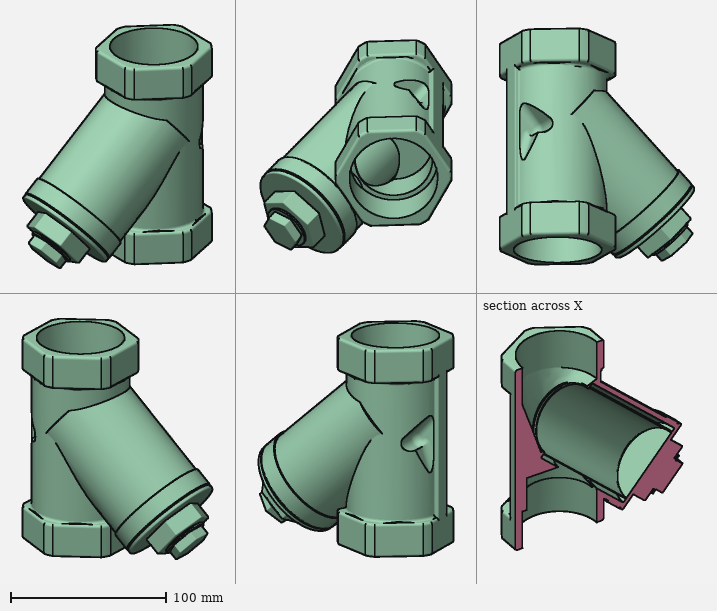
import cadquery as cq
import math

length = 139.0
half_length = length / 2
body_radius = 63.4 / 2
end_flats = 68.0
end_corner_diameter = 74.9
end_height = 22.5
end_rounding = 2.0
neck_fillet = 1.8

port_diameter = 56.7
port_depth = 28.2
port_floor = half_length - port_depth
outlet_diameter = 50.0
outlet_top = -16.7

branch_angle = 42.0
branch_crossing = 21.8
branch_diameter = 66.0
branch_start = 2.0
collar_diameter = 68.0
collar_start = 79.5
collar_end = 91.6
groove_diameter = 66.2
groove_end = 92.3
cap_diameter = 67.5
cap_end = 95.2
cap_rounding = 0.8

seat_diameter = 50.0
seat_rim_diameter = 52.0
seat_start = 4.6
seat_end = 7.4
screen_diameter = 53.0
screen_bore = 51.4
chamber_diameter = 58.4

nut_flats = 37.5
nut_end = 107.3
nut_turn = 30.0
nut_rounding = 0.7
washer_diameter = 30.0
washer_start = 108.1
washer_end = 109.5
shank_diameter = 24.2
plug_flats = 23.4
plug_end = 116.3
plug_turn = 0.0
plug_rounding = 0.5

rib_half_width = 6.3
rib_back = end_flats / 2
rib_rounding = 0.5
rib_fillet = 1.0
relief_floor = 7.0
relief_tip_radius = 5.5
relief_tip_y = 22.7
relief_tip_z = 6.1
relief_slope = 48.0
relief_low_y = 30.5
relief_low_z = -18.3
relief_fillet = 5.0


def hexagon_diameter(flats):
    return flats / math.cos(math.pi / 6)


def branch_plane(station):
    """Plane across the branch axis, with its normal pointing out of the branch."""
    angle = math.radians(branch_angle)
    direction = (0, -math.cos(angle), -math.sin(angle))
    origin = (0, station * direction[1], branch_crossing + station * direction[2])
    return cq.Plane(origin=origin, xDir=(1, 0, 0), normal=direction)


def branch_cylinder(diameter, start, end):
    return cq.Workplane(branch_plane(start)).circle(diameter / 2).extrude(end - start)


def branch_hexagon(flats, start, end, turn):
    prism = cq.Workplane(branch_plane(start)).transformed(rotate=(0, 0, turn))
    return prism.polygon(6, hexagon_diameter(flats)).extrude(end - start)


def hexagonal_end():
    """Top hexagon with rounded corners and edges, and a fillet down to the tube."""
    bottom = half_length - end_height
    base = cq.Workplane("XY").workplane(offset=bottom)
    corners = base.circle(end_corner_diameter / 2).extrude(end_height)
    head = base.polygon(6, hexagon_diameter(end_flats)).extrude(end_height).intersect(corners)
    head = head.faces("<Z or >Z").edges().fillet(end_rounding)

    outer = body_radius + neck_fillet
    sweep = neck_fillet * (1 - math.sqrt(0.5))
    neck = (
        cq.Workplane("XZ")
        .moveTo(0, bottom)
        .lineTo(outer, bottom)
        .threePointArc((body_radius + sweep, bottom - sweep), (body_radius, bottom - neck_fillet))
        .lineTo(0, bottom - neck_fillet)
        .close()
        .revolve(360, (0, 0, 0), (0, 1, 0))
    )
    underside_flats = end_flats - 2 * end_rounding
    underside = (
        base.workplane(offset=-neck_fillet)
        .polygon(6, hexagon_diameter(underside_flats))
        .extrude(neck_fillet)
    )
    return head.union(neck.intersect(underside))


def tube_with_rib():
    """Tube with a rib along its back, both ending just inside the hexagons."""
    height = length - 2 * (end_height - end_rounding)
    tube = cq.Workplane("XY").circle(body_radius).extrude(height / 2, both=True)
    rib = cq.Workplane("XY").box(2 * rib_half_width, rib_back, height, centered=(True, False, True))
    tube = tube.union(rib.edges("|Z and >Y").fillet(rib_rounding))
    joint_y = math.sqrt(body_radius**2 - rib_half_width**2)
    for joint_x in (-rib_half_width, rib_half_width):
        joint = cq.selectors.NearestToPointSelector((joint_x, joint_y, 0))
        tube = tube.edges(joint).fillet(rib_fillet)
    return tube


def relief_pocket():
    """Pocket cutter on the -X side: a sloped arm with a round tip and a tapering lower limb."""
    slope = math.radians(relief_slope)
    reach = end_corner_diameter / 2
    tangent_y = relief_tip_y - relief_tip_radius * math.sin(slope)
    tangent_z = relief_tip_z + relief_tip_radius * math.cos(slope)
    top_z = tangent_z + (reach - tangent_y) * math.tan(slope)
    limb_slope = (relief_tip_z - relief_low_z) / (relief_low_y - relief_tip_y)
    bottom_z = relief_low_z - (reach - relief_low_y) * limb_slope

    side = cq.Workplane("YZ").workplane(offset=-relief_floor)
    wedge = (
        side.moveTo(relief_tip_y, relief_tip_z)
        .lineTo(tangent_y, tangent_z)
        .lineTo(reach, top_z)
        .lineTo(reach, bottom_z)
        .close()
        .extrude(-reach)
    )
    tip = side.center(relief_tip_y, relief_tip_z).circle(relief_tip_radius).extrude(-reach)
    return wedge.union(tip).faces(">X").edges("not >Y").fillet(relief_fillet)


def inlet_funnel():
    """Passage that narrows from the round inlet to the tilted seat."""
    port = cq.Workplane("XY").workplane(offset=port_floor).circle(port_diameter / 2)
    seat = cq.Workplane(branch_plane(seat_start)).circle(seat_rim_diameter / 2)
    return cq.Workplane(cq.Solid.makeLoft([port.wire().val(), seat.wire().val()]))


def screen():
    tube = branch_cylinder(screen_diameter, seat_end, collar_end)
    return tube.cut(branch_cylinder(screen_bore, seat_end, collar_end))


def closure():
    """Cap, nut, washer and plug, stacked along the branch axis."""
    cap = branch_cylinder(cap_diameter, groove_end, cap_end)
    outermost = cq.selectors.DirectionMinMaxSelector(branch_plane(cap_end).zDir)
    cap = cap.faces(outermost).edges().fillet(cap_rounding)
    nut = branch_hexagon(nut_flats, cap_end, nut_end, nut_turn).edges().fillet(nut_rounding)
    plug = branch_hexagon(plug_flats, washer_end, plug_end, plug_turn).edges().fillet(plug_rounding)
    stack = branch_cylinder(groove_diameter, collar_end, groove_end).union(cap).union(nut)
    stack = stack.union(branch_cylinder(shank_diameter, nut_end, washer_start))
    return stack.union(branch_cylinder(washer_diameter, washer_start, washer_end)).union(plug)


top_end = hexagonal_end()
result = tube_with_rib()
pocket = relief_pocket()
result = result.cut(pocket).cut(pocket.mirror("YZ"))
result = result.union(top_end).union(top_end.mirror("XY"))
result = result.union(branch_cylinder(branch_diameter, branch_start, collar_start))
result = result.union(branch_cylinder(collar_diameter, collar_start, collar_end))

ports = cq.Workplane("XY").workplane(offset=port_floor).circle(port_diameter / 2).extrude(port_depth)
result = result.cut(ports).cut(ports.mirror("XY"))
outlet = cq.Workplane("XY").workplane(offset=-port_floor).circle(outlet_diameter / 2)
result = result.cut(outlet.extrude(outlet_top + port_floor))
result = result.cut(inlet_funnel())
result = result.cut(branch_cylinder(seat_diameter, seat_start, seat_end))
result = result.cut(branch_cylinder(chamber_diameter, seat_end, collar_end))

result = result.union(screen()).union(closure())